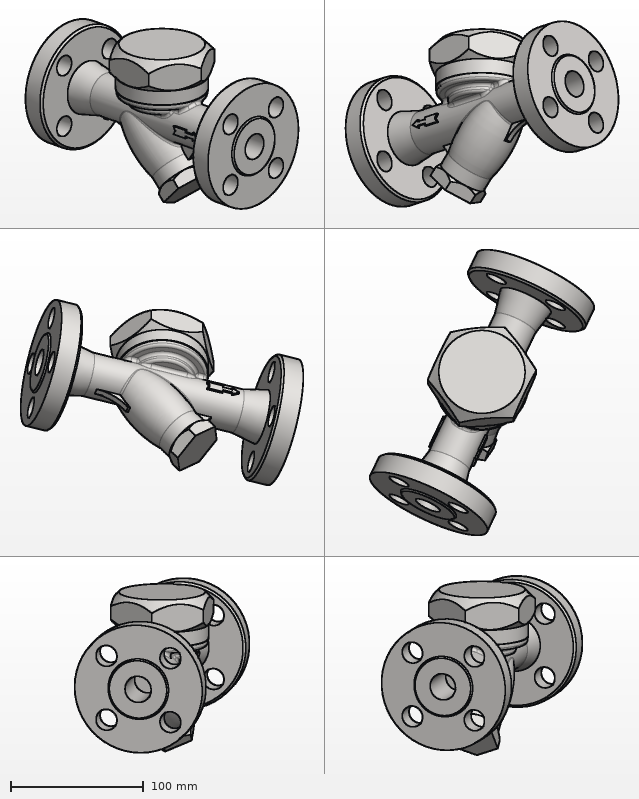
import cadquery as cq
import math


face_to_face = 195.0
half_length = face_to_face / 2
pipe_radius = 34.0 / 2
bore_diameter = 20.0
bore_depth = 39.0
neck_start = 59.5
neck_root_radius = 21.0

flange_radius = 98.0 / 2
raised_face_height = 1.4
raised_face_radius = 23.2
raised_face_tip_radius = 22.0
flange_outer = half_length - raised_face_height
flange_thickness = 17.2
flange_inner = flange_outer - flange_thickness
flange_chamfer = 1.8
bolt_circle = 69.5
bolt_hole_diameter = 16.0
bolt_hole_count = 4

cap_top = 56.5
cap_bottom = 32.0
cap_flats = 71.4
cap_top_radius = 65.1 / 2
collar_radius = 70.2 / 2
collar_bottom = 20.7
seat_radius = 69.0 / 2
seat_bottom = 15.6
lower_seat_radius = 51.5 / 2
lower_seat_bottom = 8.5
seat_edge_round = 2.3
seat_blend = 2.5

branch_angle = 45.0
branch_axis_x = -25.0
branch_start = -17.5
branch_start_radius = 16.8
branch_bulge_at = 9.8
branch_bulge_radius = 21.6
branch_neck_start = 35.5
branch_neck_radius = 38.0 / 2
plug_start = 46.8
plug_end = 57.3
plug_flats = 38.0
branch_blend = 2.0

web_thickness = 4.9
left_web_start = -52.6
left_web_end = (-27.9, -28.5)
right_web_start = 38.5
right_web_end = (30.6, -28.0)

tolerance = 0.2

arrow_height = 1.5
arrow_tail_x = 29.8
arrow_notch = 2.1
arrow_step_x = 42.5
arrow_head_x = 50.0
arrow_tip_x = 55.4
arrow_half_width = 3.3
arrow_shaft_half_width = 1.5


def hex_prism(flats, height):
    """Hexagonal bar with two corners on the X axis, standing on Z = 0."""
    return cq.Workplane("XY").polygon(6, flats / math.cos(math.pi / 6)).extrude(height)


def make_pipe():
    """Solid pipe with its conical necks, flanges and raised faces."""
    half_profile = [
        (neck_start, pipe_radius),
        (flange_inner, neck_root_radius),
        (flange_inner, flange_radius - flange_chamfer),
        (flange_inner + flange_chamfer, flange_radius),
        (flange_outer, flange_radius),
        (flange_outer, raised_face_radius),
        (half_length, raised_face_tip_radius),
        (half_length, 0),
    ]
    mirrored = [(-x, r) for x, r in reversed(half_profile)]
    pipe = (
        cq.Workplane("XY")
        .polyline(half_profile + mirrored)
        .close()
        .revolve(360, (0, 0, 0), (1, 0, 0))
    )
    return pipe


def make_seat(radius, bottom):
    """Round seat under the cap, with a rounded lower edge."""
    return (
        cq.Workplane("XY")
        .workplane(offset=bottom)
        .circle(radius)
        .extrude(collar_bottom - bottom)
        .faces("<Z")
        .edges()
        .fillet(seat_edge_round)
    )


def make_cap():
    """Hexagonal cap with 45 degree corner chamfers and the collar below it."""
    corner_radius = cap_flats / 2 / math.cos(math.pi / 6)
    chamfer_envelope = (
        cq.Workplane("XZ")
        .polyline([
            (0, cap_bottom),
            (collar_radius, cap_bottom),
            (corner_radius, cap_bottom + corner_radius - collar_radius),
            (corner_radius, cap_top - corner_radius + cap_top_radius),
            (cap_top_radius, cap_top),
            (0, cap_top),
        ])
        .close()
        .revolve(360, (0, 0, 0), (0, 1, 0))
    )
    hexagon = hex_prism(cap_flats, cap_top - cap_bottom).translate((0, 0, cap_bottom))
    collar = (
        cq.Workplane("XY")
        .workplane(offset=collar_bottom)
        .circle(collar_radius)
        .extrude(cap_bottom - collar_bottom)
    )
    return hexagon.intersect(chamfer_envelope).union(collar)


def place_on_branch(shape):
    """Turn a shape built along Z onto the branch axis."""
    offset = branch_axis_x / 2
    return shape.rotate((0, 0, 0), (0, 1, 0), 180 - branch_angle).translate((offset, 0, offset))


def make_branch():
    """Barrel shaped strainer body ending in a cylindrical neck."""
    body = (
        cq.Workplane("XZ")
        .moveTo(0, branch_start)
        .lineTo(branch_start_radius, branch_start)
        .threePointArc(
            (branch_bulge_radius, branch_bulge_at),
            (branch_neck_radius, branch_neck_start),
        )
        .lineTo(branch_neck_radius, plug_start)
        .lineTo(0, plug_start)
        .close()
        .revolve(360, (0, 0, 0), (0, 1, 0))
    )
    return place_on_branch(body)


def make_plug():
    """Hexagonal strainer plug, chamfered on the side facing the branch."""
    corner_radius = plug_flats / 2 / math.cos(math.pi / 6)
    length = plug_end - plug_start
    chamfer_envelope = (
        cq.Workplane("XZ")
        .polyline([
            (0, 0),
            (branch_neck_radius, 0),
            (corner_radius, corner_radius - branch_neck_radius),
            (corner_radius, length),
            (0, length),
        ])
        .close()
        .revolve(360, (0, 0, 0), (0, 1, 0))
    )
    plug = hex_prism(plug_flats, length).intersect(chamfer_envelope)
    return place_on_branch(plug.translate((0, 0, plug_start)))


def make_webs():
    """Curved web left of the branch and straight web right of it."""
    end_x, end_z = left_web_end
    run = end_x - left_web_start
    drop = -pipe_radius - end_z
    radius = (run ** 2 + drop ** 2) / (2 * drop)
    half_sweep = math.asin(run / radius) / 2
    arc_middle = (
        left_web_start + radius * math.sin(half_sweep),
        -pipe_radius - radius * (1 - math.cos(half_sweep)),
    )
    left = (
        cq.Workplane("XZ")
        .moveTo(left_web_start, -pipe_radius)
        .threePointArc(arc_middle, left_web_end)
        .lineTo(branch_axis_x / 2, end_z)
        .lineTo(branch_axis_x / 2, 0)
        .lineTo(left_web_start, 0)
        .close()
        .extrude(web_thickness / 2, both=True)
    )
    right = (
        cq.Workplane("XZ")
        .polyline([
            (right_web_start, -pipe_radius),
            right_web_end,
            (0, right_web_end[1]),
            (0, 0),
            (right_web_start, 0),
        ])
        .close()
        .extrude(web_thickness / 2, both=True)
    )
    return left.union(right)


def make_arrows():
    """Flow arrow pointing along +X, standing out of both sides of the pipe."""
    upper = [
        (arrow_tail_x, arrow_half_width),
        (arrow_step_x, arrow_half_width),
        (arrow_step_x, arrow_shaft_half_width),
        (arrow_head_x, arrow_shaft_half_width),
        (arrow_head_x, arrow_half_width),
    ]
    lower = [(x, -z) for x, z in reversed(upper)]
    outline = [(arrow_tail_x + arrow_notch, 0)] + upper + [(arrow_tip_x, 0)] + lower
    arrow_radius = pipe_radius + arrow_height
    envelope = (
        cq.Workplane("YZ")
        .workplane(offset=arrow_tail_x)
        .circle(arrow_radius)
        .extrude(arrow_tip_x - arrow_tail_x)
    )
    prism = cq.Workplane("XZ").polyline(outline).close().extrude(arrow_radius, both=True)
    return prism.intersect(envelope)


def make_bores():
    """Blind bore entering the pipe from each end."""
    left = cq.Workplane("YZ", origin=(-half_length, 0, 0)).circle(bore_diameter / 2).extrude(bore_depth)
    return left.union(left.mirror("YZ"))


def make_bolt_holes():
    """Bolt holes through both flanges, placed off the vertical and horizontal centre lines."""
    left = (
        cq.Workplane("YZ", origin=(-flange_outer, 0, 0))
        .polarArray(bolt_circle / 2, 180 / bolt_hole_count, 360, bolt_hole_count)
        .circle(bolt_hole_diameter / 2)
        .extrude(flange_thickness)
    )
    return left.union(left.mirror("YZ"))


def edges_within(half_x, half_y, bottom, top):
    """Selector for edges lying wholly inside a box centred on the Z axis."""
    return cq.selectors.BoxSelector(
        (-half_x, -half_y, bottom),
        (half_x, half_y, top),
        boundingbox=True,
    )


body = make_pipe()
body = body.union(make_seat(seat_radius, seat_bottom))
body = body.union(make_seat(lower_seat_radius, lower_seat_bottom))
pipe_and_seat_joint = edges_within(
    seat_radius + tolerance,
    pipe_radius + tolerance,
    lower_seat_bottom - tolerance,
    pipe_radius + tolerance,
)
seat_step = edges_within(
    lower_seat_radius + tolerance,
    lower_seat_radius + tolerance,
    seat_bottom - tolerance,
    seat_bottom + tolerance,
)
body = body.edges(pipe_and_seat_joint + seat_step).fillet(seat_blend)

body = body.union(make_branch())
branch_joint = edges_within(
    neck_start - tolerance,
    pipe_radius + tolerance,
    -pipe_radius - tolerance,
    lower_seat_bottom / 2,
)
body = body.edges(branch_joint).fillet(branch_blend)

for part in (make_cap(), make_plug(), make_webs(), make_arrows()):
    body = body.union(part)
result = body.cut(make_bores()).cut(make_bolt_holes())